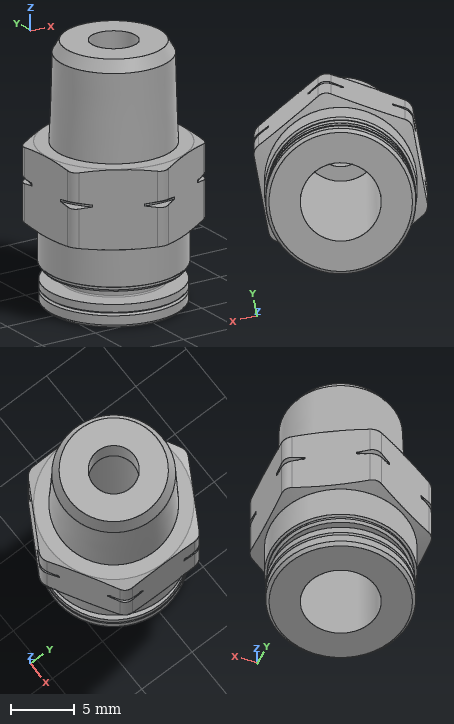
import cadquery as cq
import math

TOTAL_HEIGHT = 22.0
FLANGE_TOP = 2.0
BODY_BOTTOM = 3.0
HEX_BOTTOM = 6.65
HEX_TOP = 13.5

FLANGE_DIAMETER = 11.8
FLANGE_CHAMFER = 0.27
FLANGE_GROOVE_DEPTH = 0.2
FLANGE_GROOVE_WIDTH = 0.3
FLANGE_GROOVE_HEIGHT = 1.2
NECK_DIAMETER = 8.35
NECK_FILLET = 0.1

BODY_DIAMETER = 12.0
BODY_LIP_DIAMETER = 11.6
BODY_LIP_HEIGHT = 0.4
BODY_EDGE_HEIGHT = 0.5
BODY_EDGE_CHAMFER = 0.2

HEX_ACROSS_FLATS = 12.7
HEX_CORNER_DIAMETER = 2 * HEX_ACROSS_FLATS / math.sqrt(3)
HEX_CORNER_RADIUS = 1.0
HEX_TOP_FACE_DIAMETER = 12.6
HEX_CHAMFER_ANGLE = 15.0

CORNER_GROOVE_HEIGHT = 10.48
CORNER_GROOVE_DIAMETER = 13.34
CORNER_GROOVE_ROOT_WIDTH = 0.17
CORNER_GROOVE_SIDE_ANGLE = 20.0

STEM_BASE_DIAMETER = 10.2
STEM_TAPER = 1 / 16
STEM_TIP_HEIGHT = 1.0
STEM_TIP_ANGLE = 30.0

BORE_DIAMETER = 4.0
SOCKET_DIAMETER = 6.35
SOCKET_DEPTH = 19.4

QUARTER_TURN = 90.0


def revolve_profile(points):
    """Revolve a closed (radius, height) outline about the Z axis."""
    return cq.Workplane("XZ").polyline(points).close().revolve(360, (0, 0, 0), (0, 1, 0))


def make_flange_and_neck():
    radius = FLANGE_DIAMETER / 2
    groove_half = FLANGE_GROOVE_WIDTH / 2
    neck_radius = NECK_DIAMETER / 2
    flange = revolve_profile([
        (0, 0),
        (radius - FLANGE_CHAMFER, 0),
        (radius, FLANGE_CHAMFER),
        (radius, FLANGE_GROOVE_HEIGHT - groove_half),
        (radius - FLANGE_GROOVE_DEPTH, FLANGE_GROOVE_HEIGHT),
        (radius, FLANGE_GROOVE_HEIGHT + groove_half),
        (radius, FLANGE_TOP),
        (0, FLANGE_TOP),
    ])
    neck = (
        cq.Workplane("XZ")
        .moveTo(0, FLANGE_TOP)
        .lineTo(neck_radius + NECK_FILLET, FLANGE_TOP)
        .radiusArc((neck_radius, FLANGE_TOP + NECK_FILLET), NECK_FILLET)
        .lineTo(neck_radius, BODY_BOTTOM)
        .lineTo(0, BODY_BOTTOM)
        .close()
        .revolve(360, (0, 0, 0), (0, 1, 0))
    )
    return flange.union(neck)


def make_body():
    radius = BODY_DIAMETER / 2
    lip_radius = BODY_LIP_DIAMETER / 2
    edge_top = BODY_BOTTOM + BODY_EDGE_HEIGHT
    lip_top = BODY_BOTTOM + BODY_LIP_HEIGHT
    return revolve_profile([
        (0, BODY_BOTTOM),
        (lip_radius - BODY_EDGE_CHAMFER, BODY_BOTTOM),
        (lip_radius, BODY_BOTTOM + BODY_EDGE_CHAMFER),
        (lip_radius, lip_top),
        (radius, edge_top),
        (radius, HEX_BOTTOM),
        (0, HEX_BOTTOM),
    ])


def make_hex_envelope():
    """Round envelope that chamfers both ends of the hexagon and grooves its corners.

    The lower chamfer cone runs in to the body; the upper one leaves a flat top face.
    """
    body_radius = BODY_DIAMETER / 2
    top_face_radius = HEX_TOP_FACE_DIAMETER / 2
    outer_radius = HEX_CORNER_DIAMETER / 2
    chamfer_slope = math.tan(math.radians(HEX_CHAMFER_ANGLE))
    lower_chamfer = (outer_radius - body_radius) * chamfer_slope
    upper_chamfer = (outer_radius - top_face_radius) * chamfer_slope

    root_radius = CORNER_GROOVE_DIAMETER / 2
    root_half = CORNER_GROOVE_ROOT_WIDTH / 2
    side_slope = math.tan(math.radians(CORNER_GROOVE_SIDE_ANGLE))
    mouth_half = root_half + (outer_radius - root_radius) * side_slope
    return revolve_profile([
        (0, HEX_BOTTOM),
        (body_radius, HEX_BOTTOM),
        (outer_radius, HEX_BOTTOM + lower_chamfer),
        (outer_radius, CORNER_GROOVE_HEIGHT - mouth_half),
        (root_radius, CORNER_GROOVE_HEIGHT - root_half),
        (root_radius, CORNER_GROOVE_HEIGHT + root_half),
        (outer_radius, CORNER_GROOVE_HEIGHT + mouth_half),
        (outer_radius, HEX_TOP - upper_chamfer),
        (top_face_radius, HEX_TOP),
        (0, HEX_TOP),
    ])


def make_hexagon():
    """Hexagon with flats facing +X and -X and rounded corners."""
    prism = (
        cq.Workplane("XY", origin=(0, 0, HEX_BOTTOM))
        .transformed(rotate=(0, 0, QUARTER_TURN))
        .polygon(6, HEX_CORNER_DIAMETER)
        .extrude(HEX_TOP - HEX_BOTTOM)
        .edges("|Z")
        .fillet(HEX_CORNER_RADIUS)
    )
    return prism.intersect(make_hex_envelope())


def make_stem():
    tip_bottom = TOTAL_HEIGHT - STEM_TIP_HEIGHT
    base_radius = STEM_BASE_DIAMETER / 2
    shoulder_radius = base_radius - (tip_bottom - HEX_TOP) * STEM_TAPER / 2
    tip_radius = shoulder_radius - STEM_TIP_HEIGHT * math.tan(math.radians(STEM_TIP_ANGLE))
    return revolve_profile([
        (0, HEX_TOP),
        (base_radius, HEX_TOP),
        (shoulder_radius, tip_bottom),
        (tip_radius, TOTAL_HEIGHT),
        (0, TOTAL_HEIGHT),
    ])


def make_passage():
    """Stepped round passage through the whole part."""
    bore = cq.Workplane("XY").circle(BORE_DIAMETER / 2).extrude(TOTAL_HEIGHT)
    socket = cq.Workplane("XY").circle(SOCKET_DIAMETER / 2).extrude(SOCKET_DEPTH)
    return bore.union(socket)


result = (
    make_flange_and_neck()
    .union(make_body())
    .union(make_hexagon())
    .union(make_stem())
    .cut(make_passage())
)